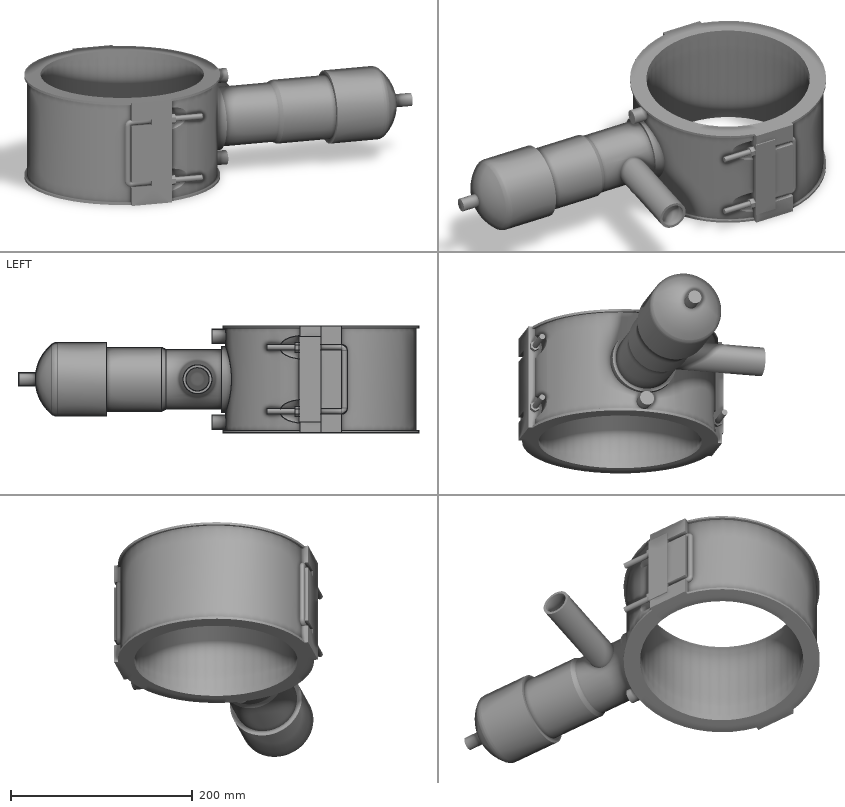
import cadquery as cq
import math

overall_width = 237.0
overall_length = 442.5

bore_radius = 90.3
wall_radius = 105.5
flange_radius = 108.5
flange_thickness = 2.5
clamp_height = 118.0

lug_half_span = 110.0
lug_length = 23.0

rod_diameter = 6.0
rod_x = 104.0
rod_bend_radius = 3.5
rod_z = 35.5
rod_end_y = 59.7
crossbar_y = -lug_length - rod_diameter / 2
nut_across_corners = 11.0
nut_height = 5.5
spotface_radius = 15.0
spotface_depth = 35.5

plate_thickness = 1.5
plate_length = 24.0
plate_height = 94.5

collar_diameter = 73.0
collar_end_y = 109.7
neck_diameter = 66.0
neck_end_y = 171.2
barrel_diameter = 71.0
barrel_start_y = 176.0
cap_diameter = 81.5
cap_start_y = 236.5
cap_end_y = 291.0
knuckle_radius = 10.0
dome_radius = 50.0
stub_diameter = 14.5
stub_end_y = overall_length - flange_radius

pipe_diameter = 32.0
pipe_bore = 25.5
pipe_y = 136.3
pipe_end_x = lug_half_span - overall_width

port_diameter = 16.0
port_z = 47.5
port_end_y = 120.5

SIDES = (-1, 1)


def cylinder_y(radius, x, z, start_y, end_y):
    """Solid cylinder parallel to Y."""
    return cq.Workplane(cq.Solid.makeCylinder(
        radius, end_y - start_y, cq.Vector(x, start_y, z), cq.Vector(0, 1, 0)))


def half_space(side):
    """Block that covers the whole ring on one side (+1 or -1) of the split plane."""
    size = 4 * flange_radius
    return cq.Workplane("XY").box(size, size, size).translate((0, side * size / 2, 0))


def outer_blank():
    """Flanged outer cylinder with the lugs, before boring and splitting."""
    blank = cq.Workplane("XY").cylinder(clamp_height, wall_radius)
    flange_z = (clamp_height - flange_thickness) / 2
    for side in SIDES:
        flange = cq.Workplane("XY").cylinder(flange_thickness, flange_radius)
        blank = blank.union(flange.translate((0, 0, side * flange_z)))
    lugs = cq.Workplane("XY").box(2 * lug_half_span, 2 * lug_length, clamp_height)
    return blank.union(lugs)


def clamp_bore():
    return cq.Workplane("XY").cylinder(2 * clamp_height, bore_radius)


def rod_slot(side_x, z):
    """Slot from the outer face of the front lug in to the axis of a rod."""
    width = lug_half_span - rod_x
    slot = cq.Workplane("XY").box(width, lug_length, rod_diameter)
    return slot.translate((side_x * (rod_x + width / 2), -lug_length / 2, z))


def u_bolt(side_x):
    """Two rods joined by a crossbar along Z through tight bends, with a hex nut on each rod."""
    bend_start_y = crossbar_y + rod_bend_radius
    bend_end_z = rod_z - rod_bend_radius
    bend_middle = rod_bend_radius * math.sqrt(0.5)
    path = (
        cq.Workplane("YZ", origin=(side_x * rod_x, 0, 0))
        .moveTo(rod_end_y, -rod_z)
        .lineTo(bend_start_y, -rod_z)
        .threePointArc((bend_start_y - bend_middle, -bend_end_z - bend_middle), (crossbar_y, -bend_end_z))
        .lineTo(crossbar_y, bend_end_z)
        .threePointArc((bend_start_y - bend_middle, bend_end_z + bend_middle), (bend_start_y, rod_z))
        .lineTo(rod_end_y, rod_z)
    )
    rod_end = cq.Plane(origin=(side_x * rod_x, rod_end_y, -rod_z), xDir=(-side_x, 0, 0), normal=(0, -1, 0))
    bolt = cq.Workplane(rod_end).circle(rod_diameter / 2).sweep(path)
    for side_z in SIDES:
        bolt = bolt.union(nut(side_x * rod_x, side_z * rod_z))
    return bolt


def nut(x, z):
    """Hex nut against the rear lug, with two corners in line with Z."""
    seat = cq.Plane(origin=(x, lug_length, z), xDir=(0, 0, 1), normal=(0, 1, 0))
    return cq.Workplane(seat).polygon(6, nut_across_corners).extrude(nut_height)


def tower():
    """Collar, neck, barrel and domed cap turned about the Y axis, ending in a thin stub."""
    cap_radius = cap_diameter / 2
    knuckle_x = cap_radius - knuckle_radius
    knuckle_angle = math.acos(knuckle_x / (dome_radius - knuckle_radius))
    dome_centre_y = cap_end_y - knuckle_x * math.tan(knuckle_angle)

    def on_knuckle(angle):
        return (knuckle_x + knuckle_radius * math.cos(angle),
                cap_end_y + knuckle_radius * math.sin(angle))

    def on_dome(angle):
        return (dome_radius * math.cos(angle), dome_centre_y + dome_radius * math.sin(angle))

    profile = (
        cq.Workplane("XY")
        .lineTo(collar_diameter / 2, 0)
        .lineTo(collar_diameter / 2, collar_end_y)
        .lineTo(neck_diameter / 2, collar_end_y)
        .lineTo(neck_diameter / 2, neck_end_y)
        .lineTo(barrel_diameter / 2, barrel_start_y)
        .lineTo(barrel_diameter / 2, cap_start_y)
        .lineTo(cap_radius, cap_start_y)
        .lineTo(cap_radius, cap_end_y)
        .threePointArc(on_knuckle(knuckle_angle / 2), on_knuckle(knuckle_angle))
        .threePointArc(on_dome((knuckle_angle + math.pi / 2) / 2), on_dome(math.pi / 2))
        .close()
    )
    body = profile.revolve(360, (0, 0, 0), (0, 1, 0))
    return body.union(cylinder_y(stub_diameter / 2, 0, 0, cap_end_y, stub_end_y))


def side_pipe(diameter, inner_x):
    """Cylinder along X from the open pipe end to inner_x."""
    end_face = cq.Workplane("YZ", origin=(pipe_end_x, pipe_y, 0))
    return end_face.circle(diameter / 2).extrude(inner_x - pipe_end_x)


def cover_plate():
    plate = cq.Workplane("XY").box(plate_thickness, plate_length, plate_height)
    return plate.translate((-lug_half_span - plate_thickness / 2, plate_length / 2, 0))


def front_half():
    """Clamp half on the -Y side, carrying both U-bolts."""
    half = outer_blank().cut(clamp_bore()).intersect(half_space(-1))
    for side_x in SIDES:
        for side_z in SIDES:
            half = half.cut(rod_slot(side_x, side_z * rod_z))
        half = half.union(u_bolt(side_x))
    return half


def rear_half():
    """Clamp half on the +Y side, carrying the tower, side pipe, ports and cover plate."""
    half = outer_blank().intersect(half_space(1)).union(tower())
    for side_z in SIDES:
        half = half.union(cylinder_y(port_diameter / 2, 0, side_z * port_z, bore_radius, port_end_y))
    half = half.cut(clamp_bore())
    half = half.union(side_pipe(pipe_diameter, 0))
    half = half.cut(side_pipe(pipe_bore, -neck_diameter / 2))
    for side_x in SIDES:
        for side_z in SIDES:
            z = side_z * rod_z
            spotface_end_y = lug_length + spotface_depth
            half = half.cut(cylinder_y(spotface_radius, side_x * lug_half_span, z,
                                       lug_length, spotface_end_y))
            half = half.cut(cylinder_y(rod_diameter / 2, side_x * rod_x, z, 0, lug_length))
    return half.union(cover_plate())


front_clamp = front_half().solids()
rear_clamp = rear_half().solids()

result = cq.Compound.makeCompound([front_clamp.val(), rear_clamp.val()])